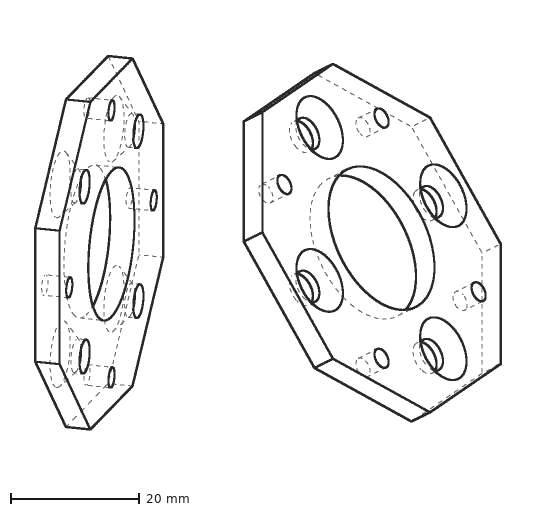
import cadquery as cq

plate_thickness = 4.0
plate_width = 54.0
corner_cut = 16.0

bore_diameter = 24.0

pin_hole_diameter = 3.2
pin_hole_offset = 22.0

screw_hole_diameter = 5.3
screw_head_diameter = 10.5
countersink_angle = 90.0
screw_hole_offset = 14.0

pin_hole_centres = [
    (pin_hole_offset, 0),
    (-pin_hole_offset, 0),
    (0, pin_hole_offset),
    (0, -pin_hole_offset),
]
screw_hole_spacing = 2 * screw_hole_offset


def make_plate():
    """Square plate with its four corners cut off, from X = 0 to the thickness."""
    blank = cq.Workplane("YZ").rect(plate_width, plate_width).extrude(plate_thickness)
    return blank.edges("|X").chamfer(corner_cut)


def front_plane(plate):
    """Workplane centred on the -X face."""
    return plate.faces("<X").workplane(origin=(0, 0, 0))


def cut_bore(plate):
    return front_plane(plate).hole(bore_diameter)


def cut_pin_holes(plate):
    return front_plane(plate).pushPoints(pin_hole_centres).hole(pin_hole_diameter)


def cut_screw_holes(plate):
    centres = front_plane(plate).rect(screw_hole_spacing, screw_hole_spacing, forConstruction=True).vertices()
    return centres.cskHole(screw_hole_diameter, screw_head_diameter, countersink_angle)


plate = make_plate()
plate = cut_bore(plate)
plate = cut_pin_holes(plate)
result = cut_screw_holes(plate)